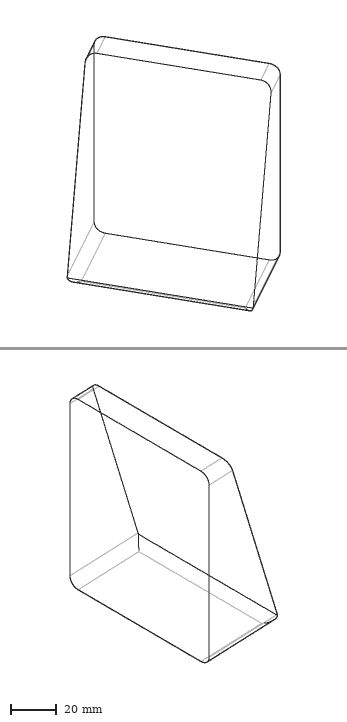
import cadquery as cq
import math

width = 84.2
depth = 43.0
height = 104.2
top_depth = 13.2
edge_radius = 5.0
slope_start_height = 4.2

back_y = depth / 2
front_y = -depth / 2
bottom_z = -height / 2
top_z = height / 2

top_front_y = back_y - top_depth

angle_below_center = math.asin((edge_radius - slope_start_height) / edge_radius)
round_center_y = front_y + edge_radius * math.cos(angle_below_center)
round_center_z = bottom_z + edge_radius
slope_start_z = bottom_z + slope_start_height

middle_angle = (angle_below_center + math.pi / 2) / 2
round_middle = (
    round_center_y - edge_radius * math.cos(middle_angle),
    round_center_z - edge_radius * math.sin(middle_angle),
)


def make_wedge():
    """Side profile of the wedge, extruded across the width."""
    profile = (
        cq.Workplane("YZ")
        .moveTo(back_y, bottom_z)
        .lineTo(back_y, top_z)
        .lineTo(top_front_y, top_z)
        .lineTo(front_y, slope_start_z)
        .threePointArc(round_middle, (round_center_y, bottom_z))
        .close()
    )
    return profile.extrude(width / 2, both=True)


def make_rounded_outline():
    """Rounded rectangle in width and height, running through the full depth."""
    return cq.Workplane("XY").box(width, 2 * depth, height).edges("|Y").fillet(edge_radius)


result = make_wedge().intersect(make_rounded_outline())